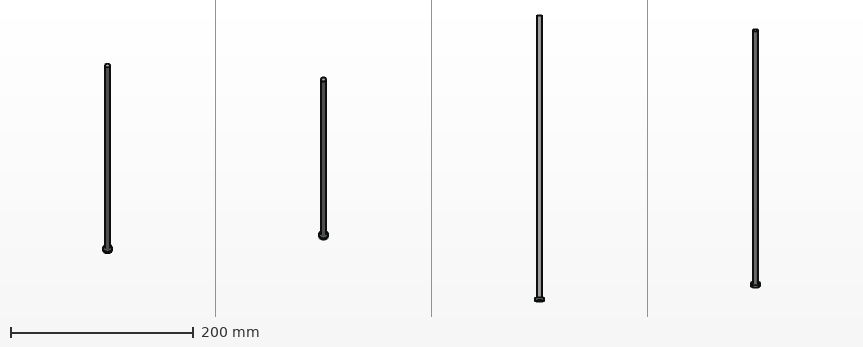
import cadquery as cq

head_diameter = 10.0
head_height = 3.0
shank_diameter = 5.5
total_length = 318.0
neck_fillet_radius = 0.2

head_radius = head_diameter / 2
shank_radius = shank_diameter / 2


def make_pin():
    """Revolve the half profile of head, neck fillet and shank about the Z axis."""
    profile = (
        cq.Workplane("XZ")
        .lineTo(-head_radius, 0)
        .lineTo(-head_radius, head_height)
        .lineTo(-shank_radius - neck_fillet_radius, head_height)
        .radiusArc((-shank_radius, head_height + neck_fillet_radius), -neck_fillet_radius)
        .lineTo(-shank_radius, total_length)
        .lineTo(0, total_length)
        .close()
    )
    return profile.revolve(360, (0, 0), (0, 1))


result = make_pin()